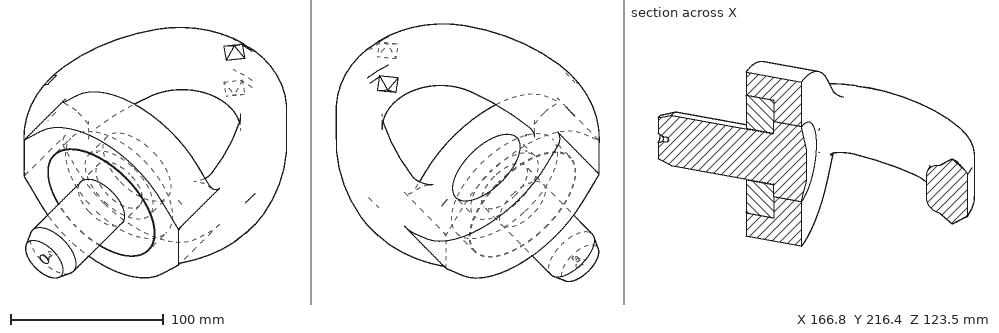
import cadquery as cq
import math


RING_WIDTH = 166.8
RING_TOP = 154.9
RING_THICKNESS = 36.1
RING_CROWN_RADIUS = 70.0
RING_SHOULDER_RADIUS = 128.7
RING_SIDE_CENTER_Y = 54.0
RING_RIM_FILLET = 2.8

OPENING_TOP = 125.7
OPENING_CROWN_RADIUS = 38.3
OPENING_SIDE_RADIUS = 173.0
OPENING_CORNER_RADIUS = 15.1
OPENING_CORNER_X = 32.5
OPENING_RIM_FILLET = 10.0

BASE_HEIGHT = 123.5
BASE_DEPTH = 38.7
BASE_COVE_RADIUS = 5.8

MARKER_HEIGHT = 6.5
MARKER_HALF_DIAGONAL = 8.7
MARKER_EMBED = 1.0

WASHER_DIAMETER = 88.0
WASHER_THICKNESS = BASE_DEPTH / 2
WASHER_BORE = 38.3
WASHER_EDGE_CHAMFER = 0.5
DISH_DIAMETER = 62.0
DISH_DEPTH = 0.2

SHANK_DIAMETER = 38.0
SHANK_LENGTH = 61.5
TIP_DIAMETER = 31.0
TIP_LENGTH = 9.3
HEAD_DIAMETER = 56.0
CROWN_DIAMETER = 24.7
CROWN_HEIGHT = 3.5
CENTER_HOLE_DIAMETER = 3.2
CENTER_HOLE_DEPTH = 6.5
CENTER_SINK_DIAMETER = 7.0
CENTER_SINK_ANGLE = 60.0
DRILL_POINT_ANGLE = 118.0

SELECT_MARGIN = 0.2

RING_SIDE_RADIUS = RING_WIDTH / 2
RING_CROWN_CENTER_Y = RING_TOP - RING_CROWN_RADIUS
OPENING_CROWN_CENTER_Y = OPENING_TOP - OPENING_CROWN_RADIUS
OPENING_CORNER_Y = BASE_DEPTH + OPENING_CORNER_RADIUS
HALF_THICKNESS = RING_THICKNESS / 2
BASE_RADIUS = BASE_HEIGHT / 2
BASE_HALF_WIDTH = math.sqrt(RING_SIDE_RADIUS**2 - RING_SIDE_CENTER_Y**2)


def point_on_circle(center, radius, angle):
    return (center[0] + radius * math.cos(angle), center[1] + radius * math.sin(angle))


def mirrored(point):
    return (-point[0], point[1])


def tangent_arc(upper_center, upper_radius, lower_center, lower_radius, radius):
    """Start, middle and end of the +X arc that wraps and touches an upper and a lower circle."""
    to_upper = radius - upper_radius
    to_lower = radius - lower_radius
    dx = lower_center[0] - upper_center[0]
    dy = lower_center[1] - upper_center[1]
    gap = math.hypot(dx, dy)
    along = (gap**2 + to_upper**2 - to_lower**2) / (2 * gap)
    across = math.sqrt(to_upper**2 - along**2)
    center = (
        upper_center[0] + (along * dx + across * dy) / gap,
        upper_center[1] + (along * dy - across * dx) / gap,
    )
    upper_angle = math.atan2(upper_center[1] - center[1], upper_center[0] - center[0])
    lower_angle = math.atan2(lower_center[1] - center[1], lower_center[0] - center[0])
    middle_angle = (upper_angle + lower_angle) / 2
    return [point_on_circle(center, radius, a) for a in (upper_angle, middle_angle, lower_angle)]


def plate(outline):
    """Extrude a closed XY outline to the thickness of the ring, centred on Z = 0."""
    return outline.close().extrude(HALF_THICKNESS, both=True)


def make_ring_blank():
    side_center = (0, RING_SIDE_CENTER_Y)
    upper, shoulder, lower = tangent_arc(
        (0, RING_CROWN_CENTER_Y), RING_CROWN_RADIUS, side_center, RING_SIDE_RADIUS, RING_SHOULDER_RADIUS
    )
    foot = (BASE_HALF_WIDTH, 0)
    widest = (RING_SIDE_RADIUS, RING_SIDE_CENTER_Y)
    blank = plate(
        cq.Workplane("XY")
        .moveTo(*foot)
        .threePointArc(widest, lower)
        .threePointArc(shoulder, upper)
        .threePointArc((0, RING_TOP), mirrored(upper))
        .threePointArc(mirrored(shoulder), mirrored(lower))
        .threePointArc(mirrored(widest), mirrored(foot))
    )
    return blank.edges("not (|Z or |X)").fillet(RING_RIM_FILLET)


def make_opening():
    corner_center = (OPENING_CORNER_X, OPENING_CORNER_Y)
    upper, side, lower = tangent_arc(
        (0, OPENING_CROWN_CENTER_Y),
        OPENING_CROWN_RADIUS,
        corner_center,
        OPENING_CORNER_RADIUS,
        OPENING_SIDE_RADIUS,
    )
    corner = point_on_circle(corner_center, OPENING_CORNER_RADIUS, math.radians(-45))
    floor_end = (OPENING_CORNER_X, BASE_DEPTH)
    return plate(
        cq.Workplane("XY")
        .moveTo(*floor_end)
        .threePointArc(corner, lower)
        .threePointArc(side, upper)
        .threePointArc((0, OPENING_TOP), mirrored(upper))
        .threePointArc(mirrored(side), mirrored(lower))
        .threePointArc(mirrored(corner), mirrored(floor_end))
    )


def make_ring():
    ring = make_ring_blank().cut(make_opening())
    half_width = OPENING_CORNER_X + OPENING_CORNER_RADIUS
    around_opening = cq.selectors.BoxSelector(
        (-half_width, BASE_DEPTH - SELECT_MARGIN, -RING_THICKNESS),
        (half_width, OPENING_TOP + SELECT_MARGIN, RING_THICKNESS),
    )
    return ring.faces("|Z").edges(around_opening).fillet(OPENING_RIM_FILLET)


def make_base():
    """A disc whose rim runs out along tangents to the faces of the ring."""
    corner_distance = math.hypot(BASE_HALF_WIDTH, HALF_THICKNESS)
    tangent_angle = math.atan2(HALF_THICKNESS, BASE_HALF_WIDTH) + math.acos(BASE_RADIUS / corner_distance)
    x, z = point_on_circle((0, 0), BASE_RADIUS, tangent_angle)
    return (
        cq.Workplane("XZ")
        .moveTo(BASE_HALF_WIDTH, -HALF_THICKNESS)
        .lineTo(BASE_HALF_WIDTH, HALF_THICKNESS)
        .lineTo(x, z)
        .threePointArc((0, BASE_RADIUS), (-x, z))
        .lineTo(-BASE_HALF_WIDTH, HALF_THICKNESS)
        .lineTo(-BASE_HALF_WIDTH, -HALF_THICKNESS)
        .lineTo(-x, -z)
        .threePointArc((0, -BASE_RADIUS), (x, -z))
        .close()
        .extrude(-BASE_DEPTH)
    )


def fillet_ring_to_base(body):
    """Cove the straight seams on both ring faces; it runs on around the corners of the opening."""
    seams = cq.selectors.BoxSelector(
        (-BASE_HALF_WIDTH, BASE_DEPTH - SELECT_MARGIN, -HALF_THICKNESS - SELECT_MARGIN),
        (BASE_HALF_WIDTH, BASE_DEPTH + SELECT_MARGIN, HALF_THICKNESS + SELECT_MARGIN),
    )
    return body.edges(seams).edges("|X").fillet(BASE_COVE_RADIUS)


def make_marker():
    """A square pyramid on the +Z ring face, midway across the flat band at the top of the ring."""
    center_y = (RING_TOP - RING_RIM_FILLET + OPENING_TOP + OPENING_RIM_FILLET) / 2
    half_diagonal = MARKER_HALF_DIAGONAL * (MARKER_HEIGHT + MARKER_EMBED) / MARKER_HEIGHT
    foot_z = HALF_THICKNESS - MARKER_EMBED
    apex = cq.Vector(0, center_y, HALF_THICKNESS + MARKER_HEIGHT)
    corners = [
        cq.Vector(half_diagonal, center_y, foot_z),
        cq.Vector(0, center_y + half_diagonal, foot_z),
        cq.Vector(-half_diagonal, center_y, foot_z),
        cq.Vector(0, center_y - half_diagonal, foot_z),
    ]
    faces = [cq.Face.makeFromWires(cq.Wire.makePolygon(corners, close=True))]
    for i, corner in enumerate(corners):
        triangle = cq.Wire.makePolygon([corner, corners[i - 1], apex], close=True)
        faces.append(cq.Face.makeFromWires(triangle))
    return cq.Workplane(cq.Solid.makeSolid(cq.Shell.makeShell(faces)))


def disc(diameter, start_y, length):
    """A cylinder on the Y axis that runs from start_y towards +Y."""
    return cq.Workplane("XZ", origin=(0, start_y, 0)).circle(diameter / 2).extrude(-length)


def revolve_about_y(profile):
    return cq.Workplane("XY").polyline(profile).close().revolve(360, (0, 0, 0), (0, 1, 0))


def cone_depth(wide_diameter, narrow_diameter, full_angle):
    """Depth over which a cone of the given full angle narrows between two diameters."""
    return (wide_diameter - narrow_diameter) / 2 / math.tan(math.radians(full_angle / 2))


def make_eye_body():
    body = fillet_ring_to_base(make_ring().union(make_base()))
    marker = make_marker()
    body = body.union(marker).union(marker.mirror("XY"))
    washer_seat = disc(WASHER_DIAMETER, 0, WASHER_THICKNESS)
    head_bore = disc(HEAD_DIAMETER, WASHER_THICKNESS, BASE_DEPTH - WASHER_THICKNESS)
    return body.cut(washer_seat).cut(head_bore).solids()


def make_washer():
    """A ring with a chamfered rim and a front face that dishes in slightly towards the bolt."""
    profile = [
        (WASHER_BORE / 2, DISH_DEPTH),
        (DISH_DIAMETER / 2, 0),
        (WASHER_DIAMETER / 2 - WASHER_EDGE_CHAMFER, 0),
        (WASHER_DIAMETER / 2, WASHER_EDGE_CHAMFER),
        (WASHER_DIAMETER / 2, WASHER_THICKNESS),
        (WASHER_BORE / 2, WASHER_THICKNESS),
    ]
    return revolve_about_y(profile)


def make_bolt():
    """A headed bolt with a tapered tip, a conical crown behind the base and a centre-drilled tip."""
    sink_depth = cone_depth(CENTER_SINK_DIAMETER, CENTER_HOLE_DIAMETER, CENTER_SINK_ANGLE)
    point_depth = cone_depth(CENTER_HOLE_DIAMETER, 0, DRILL_POINT_ANGLE)
    profile = [
        (0, CENTER_HOLE_DEPTH + point_depth - SHANK_LENGTH),
        (CENTER_HOLE_DIAMETER / 2, CENTER_HOLE_DEPTH - SHANK_LENGTH),
        (CENTER_HOLE_DIAMETER / 2, sink_depth - SHANK_LENGTH),
        (CENTER_SINK_DIAMETER / 2, -SHANK_LENGTH),
        (TIP_DIAMETER / 2, -SHANK_LENGTH),
        (SHANK_DIAMETER / 2, TIP_LENGTH - SHANK_LENGTH),
        (SHANK_DIAMETER / 2, WASHER_THICKNESS),
        (HEAD_DIAMETER / 2, WASHER_THICKNESS),
        (HEAD_DIAMETER / 2, BASE_DEPTH),
        (CROWN_DIAMETER / 2, BASE_DEPTH + CROWN_HEIGHT),
        (0, BASE_DEPTH + CROWN_HEIGHT),
    ]
    return revolve_about_y(profile)


eye_body = make_eye_body()
washer = make_washer()
bolt = make_bolt()

result = cq.Compound.makeCompound([eye_body.val(), washer.val(), bolt.val()])